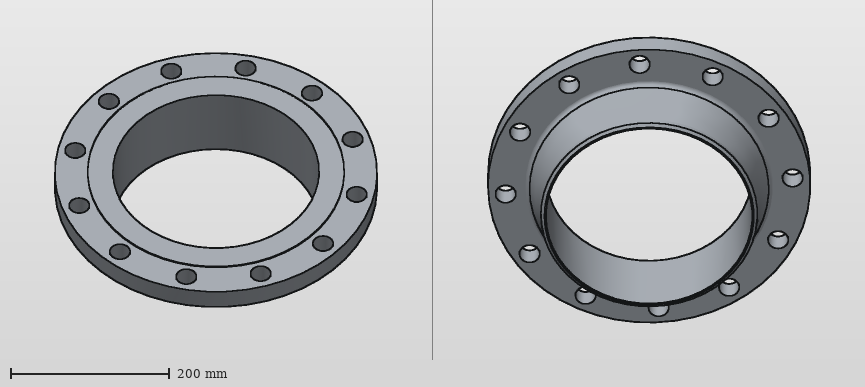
import cadquery as cq
import math

flange_radius = 203.0
height = 101.5
raised_face_height = 1.5
raised_face_radius = 161.7
flange_bottom_z = 71.0
flange_top_z = height - raised_face_height

bore_radius = 130.0
weld_end_radius = 136.5
weld_bevel_width = 4.5
weld_bevel_height = 3.3
hub_bottom_z = 11.0
hub_top_z = 64.5
hub_top_radius = 150.8
hub_sag = 2.5
root_radius = 156.0
root_sag = 1.5

bolt_count = 12
bolt_circle_radius = 181.3
bolt_hole_diameter = 25.5


def bowed_midpoint(start, end, sag):
    """Midpoint of an arc rising from start to end, bowed inward toward the axis."""
    run = end[0] - start[0]
    rise = end[1] - start[1]
    chord = math.hypot(run, rise)
    middle_r = (start[0] + end[0]) / 2 - sag * rise / chord
    middle_z = (start[1] + end[1]) / 2 + sag * run / chord
    return middle_r, middle_z


def revolved_body():
    """Flange, raised face and flared hub as one revolved ring."""
    hub_bottom = (weld_end_radius, hub_bottom_z)
    hub_top = (hub_top_radius, hub_top_z)
    root = (root_radius, flange_bottom_z)
    profile = (
        cq.Workplane("XZ")
        .moveTo(bore_radius, 0)
        .lineTo(weld_end_radius - weld_bevel_width, 0)
        .lineTo(weld_end_radius, weld_bevel_height)
        .lineTo(*hub_bottom)
        .threePointArc(bowed_midpoint(hub_bottom, hub_top, hub_sag), hub_top)
        .threePointArc(bowed_midpoint(hub_top, root, root_sag), root)
        .lineTo(flange_radius, flange_bottom_z)
        .lineTo(flange_radius, flange_top_z)
        .lineTo(raised_face_radius, flange_top_z)
        .lineTo(raised_face_radius, height)
        .lineTo(bore_radius, height)
        .close()
    )
    return profile.revolve(360, (0, 0, 0), (0, 1, 0))


def bolt_holes():
    """Cylinders that pass through the flange on the bolt circle."""
    return (
        cq.Workplane("XY")
        .workplane(offset=flange_bottom_z)
        .polarArray(bolt_circle_radius, 0, 360, bolt_count)
        .circle(bolt_hole_diameter / 2)
        .extrude(height - flange_bottom_z)
    )


result = revolved_body().cut(bolt_holes())